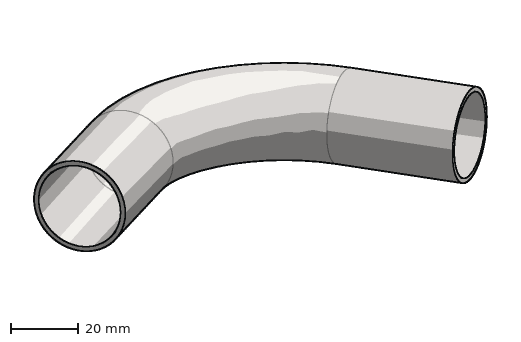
import cadquery as cq

overall_length = 104.5
outer_diameter = 29.0
inner_diameter = 26.0
straight_length = 40.0

bend_radius = overall_length - straight_length - outer_diameter / 2


def bent_rod(diameter):
    """Solid rod: a leg along +Y, a quarter bend, then a leg along +X."""
    first_leg = cq.Workplane("XZ").circle(diameter / 2).extrude(-straight_length)
    bend = (
        cq.Workplane("XZ", origin=(0, straight_length, 0))
        .circle(diameter / 2)
        .revolve(90, (bend_radius, 0), (bend_radius, -1))
    )
    second_leg = (
        cq.Workplane("YZ", origin=(bend_radius, straight_length + bend_radius, 0))
        .circle(diameter / 2)
        .extrude(straight_length)
    )
    return first_leg.union(bend).union(second_leg)


result = bent_rod(outer_diameter).cut(bent_rod(inner_diameter))